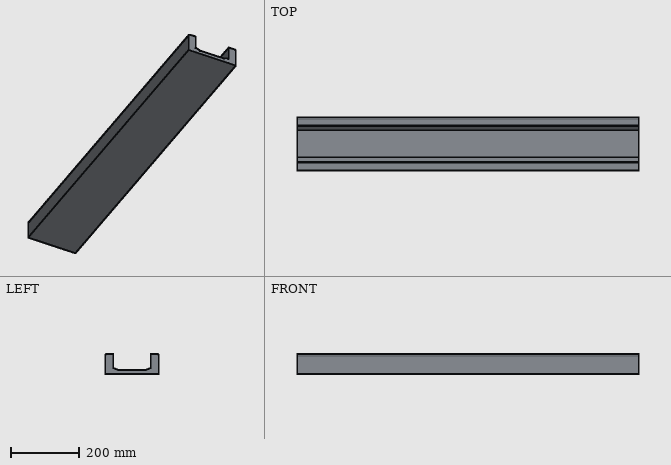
import cadquery as cq

length = 1000.0
width = 157.0
height = 59.0
wall_thickness = 24.0
floor_thickness = 12.0
edge_radius = 5.0

flat_floor_width = 79.0
slope_rise = 5.0
ledge_width = 2.5

half_width = width / 2
inner_half_width = half_width - wall_thickness
ledge_height = floor_thickness + slope_rise

half_profile = [
    (0, 0),
    (half_width, 0),
    (half_width, height),
    (inner_half_width, height),
    (inner_half_width, ledge_height),
    (inner_half_width - ledge_width, ledge_height),
    (flat_floor_width / 2, floor_thickness),
    (0, floor_thickness),
]

mirrored_half = [(-y, z) for y, z in reversed(half_profile[1:-1])]
channel = (
    cq.Workplane("YZ")
    .polyline(half_profile + mirrored_half)
    .close()
    .extrude(length / 2, both=True)
)

result = channel.faces("<Y or >Y").edges(">Z").fillet(edge_radius)